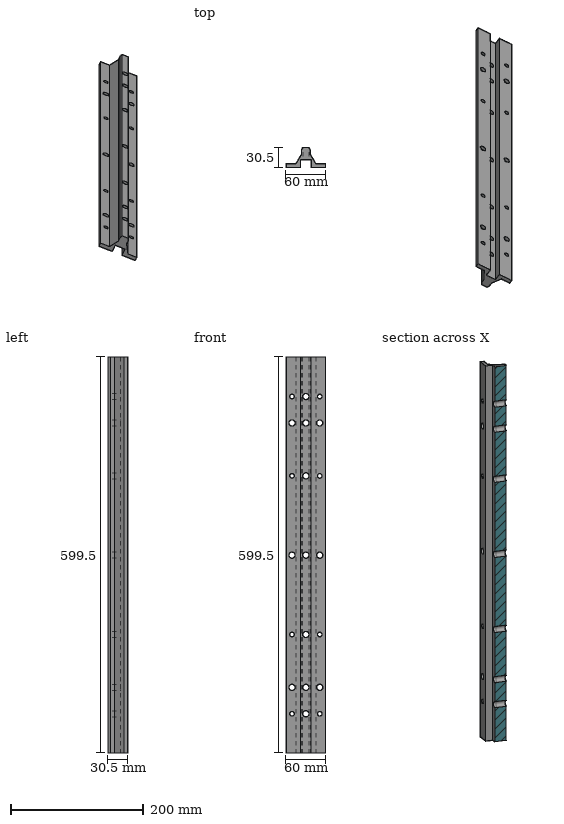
import cadquery as cq

WIDTH = 60.0
DEPTH = 30.48
LENGTH = 599.5

FLANGE_THICKNESS = 6.0
CHANNEL_WIDTH = 16.0
CHANNEL_DEPTH = 11.5
SHOULDER_WIDTH = 30.4
HEAD_WIDTH = 13.6
HEAD_HEIGHT = 10.5
HEAD_CHAMFER_WIDTH = 1.8
HEAD_CHAMFER_HEIGHT = 4.0

SIDE_HOLE_OFFSET = 21.0
CENTRE_HOLE_DIAMETER = 9.0
LARGE_SIDE_HOLE_DIAMETER = 9.0
SMALL_SIDE_HOLE_DIAMETER = 6.6
LARGE_ROW_DISTANCES = (100.0, 300.0, 500.0)
SMALL_ROW_DISTANCES = (60.0, 180.0, 420.0, 540.0)

BASE_Y = -DEPTH / 2
TOP_Y = DEPTH / 2
TOP_Z = LENGTH / 2


def make_rail():
    """Flanged rail with a tapered neck, a chamfered head and an open channel."""
    half_profile = [
        (0, BASE_Y + CHANNEL_DEPTH),
        (CHANNEL_WIDTH / 2, BASE_Y + CHANNEL_DEPTH),
        (CHANNEL_WIDTH / 2, BASE_Y),
        (WIDTH / 2, BASE_Y),
        (WIDTH / 2, BASE_Y + FLANGE_THICKNESS),
        (SHOULDER_WIDTH / 2, BASE_Y + FLANGE_THICKNESS),
        (HEAD_WIDTH / 2, TOP_Y - HEAD_HEIGHT),
        (HEAD_WIDTH / 2, TOP_Y - HEAD_CHAMFER_HEIGHT),
        (HEAD_WIDTH / 2 - HEAD_CHAMFER_WIDTH, TOP_Y),
        (0, TOP_Y),
    ]
    half = cq.Workplane("XY").polyline(half_profile).close().extrude(LENGTH / 2, both=True)
    return half.union(half.mirror("YZ")).clean()


def hole_cutter(x, distance_from_top, diameter):
    """Cylinder along Y passing through the whole depth of the rail."""
    return (
        cq.Workplane("XZ", origin=(x, 0, TOP_Z - distance_from_top))
        .circle(diameter / 2)
        .extrude(DEPTH, both=True)
    )


def drill_rows(rail, distances, side_diameter):
    """Drill rows of one centre hole and two side holes."""
    for distance in distances:
        rail = rail.cut(hole_cutter(0, distance, CENTRE_HOLE_DIAMETER))
        for side in (-1, 1):
            rail = rail.cut(hole_cutter(side * SIDE_HOLE_OFFSET, distance, side_diameter))
    return rail


rail = make_rail()
rail = drill_rows(rail, LARGE_ROW_DISTANCES, LARGE_SIDE_HOLE_DIAMETER)
result = drill_rows(rail, SMALL_ROW_DISTANCES, SMALL_SIDE_HOLE_DIAMETER)